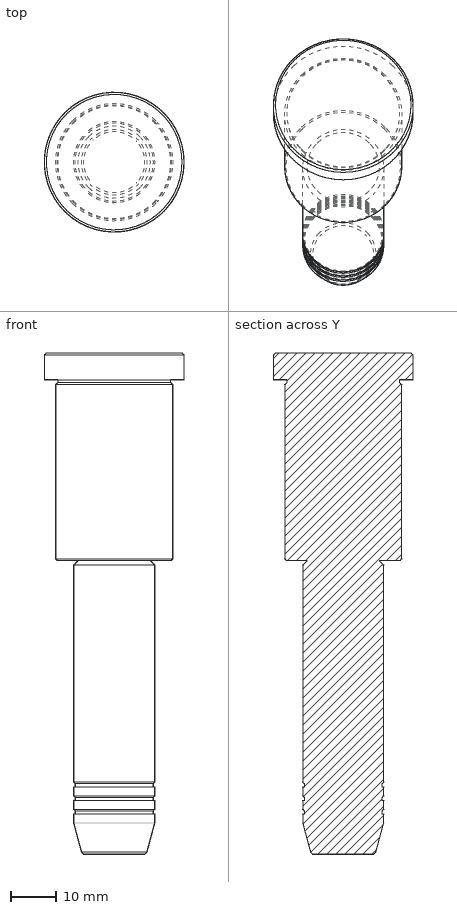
import cadquery as cq
import math

total_length = 111.0
head_radius = 15.48
head_height = 6.0
head_chamfer = 0.5
body_radius = 13.0
body_bottom = 65.0
body_chamfer = 0.3
shank_radius = 9.0

head_relief_depth = 0.5
head_relief_height = 1.0
body_relief_depth = 1.0
body_relief_height = 1.0
head_relief_land = 0.5

groove_count = 3
groove_pitch = 3.0
groove_width = 1.0
groove_depth = 0.3
first_groove_bottom = 9.0

taper_top = 7.0
taper_angle = math.radians(15)
tip_chamfer = 0.5

head_bottom = total_length - head_height
tip_radius = shank_radius - (taper_top - tip_chamfer) * math.tan(taper_angle)


def make_punch():
    """Revolve the half profile, from the tip up to the head."""
    body_neck = shank_radius - body_relief_depth
    head_neck = body_radius - head_relief_depth
    profile = (
        cq.Workplane("XZ")
        .lineTo(tip_radius - tip_chamfer, 0)
        .lineTo(tip_radius, tip_chamfer)
        .lineTo(shank_radius, taper_top)
        .lineTo(shank_radius, body_bottom - body_relief_height)
        .lineTo(body_neck, body_bottom)
        .lineTo(body_radius - body_chamfer, body_bottom)
        .lineTo(body_radius, body_bottom + body_chamfer)
        .lineTo(body_radius, head_bottom - head_relief_height)
        .lineTo(head_neck, head_bottom - head_relief_land)
        .lineTo(head_neck, head_bottom)
        .lineTo(head_radius, head_bottom)
        .lineTo(head_radius, total_length - head_chamfer)
        .lineTo(head_radius - head_chamfer, total_length)
        .lineTo(0, total_length)
        .close()
    )
    return profile.revolve(360, (0, 0, 0), (0, 1, 0))


def make_groove(bottom):
    """Ring to remove from the shank: flat lower wall, 45 degree upper wall."""
    top = bottom + groove_width
    floor_radius = shank_radius - groove_depth
    return (
        cq.Workplane("XZ")
        .moveTo(floor_radius, bottom)
        .lineTo(shank_radius + groove_depth, bottom)
        .lineTo(shank_radius + groove_depth, top + groove_depth)
        .lineTo(floor_radius, top - groove_depth)
        .close()
        .revolve(360, (0, 0, 0), (0, 1, 0))
    )


result = make_punch()
for index in range(groove_count):
    result = result.cut(make_groove(first_groove_bottom + index * groove_pitch))